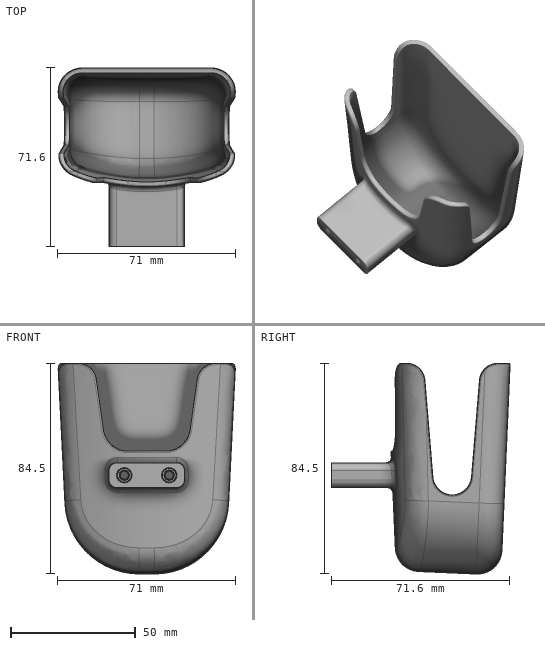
import cadquery as cq
import math

height = 84.5
depth = 71.6
side_spacing = 71.3

wall = 2.0
edge_radius = 10.0
rim_round = 0.5
tilt = math.radians(2.5)
side_lean = math.radians(2.86)
bottom_radius = 30.0
front_bow_radius = 74.35
front_y_at_rim = -49.3
overshoot = 8.45

notch_top_radius = 7.5
front_notch_bottom = 49.25
front_notch_flat = 15.0
front_notch_radius = 10.0
front_notch_lean = math.radians(8)
side_notch_bottom = 31.7
side_notch_radius = 7.8
side_notch_lean = math.radians(4.7)
side_notch_y = -23.2

stem_width = 30.25
stem_thickness = 10.0
stem_corner_radius = 3.0
stem_z = 39.6
stem_root_radius = 2.0
stem_root_y = -42.2
insert_spacing = 18.0
insert_places = (-insert_spacing / 2, insert_spacing / 2)
insert_length = 8.0
knurl_teeth = 30
knurl_tip_radius = 3.1
knurl_root_radius = 2.8
knurl_base_share = 0.6
bore_radius = 1.65
bore_chamfer = 0.38

touch = 0.001

corner_z = -edge_radius * (math.cos(tilt) + math.sin(tilt) - 1)
corner_y = -(height - corner_z) * math.tan(tilt)


def u_outline(plane):
    """U outline with leaning sides and a short flat at the bottom."""
    rim_rise = (height - corner_z) / math.cos(tilt)
    top_rise = rim_rise + overshoot
    top_x = side_spacing / 2 + overshoot * math.tan(side_lean)
    tangent_rise = bottom_radius * (1 - math.sin(side_lean))
    tangent_x = top_x - (top_rise - tangent_rise) * math.tan(side_lean)
    flat_x = tangent_x - bottom_radius * math.cos(side_lean)
    return (
        cq.Workplane(plane)
        .moveTo(-flat_x, 0)
        .lineTo(flat_x, 0)
        .radiusArc((tangent_x, tangent_rise), -bottom_radius)
        .lineTo(top_x, top_rise)
        .lineTo(-top_x, top_rise)
        .lineTo(-tangent_x, tangent_rise)
        .radiusArc((-flat_x, 0), -bottom_radius)
        .close()
    )


def cup_block(inset):
    """Solid cup shape, with every wall moved inward by inset."""
    into_cup = cq.Vector(0, -math.cos(tilt), math.sin(tilt))
    back_corner = cq.Vector(0, corner_y, corner_z) + into_cup * inset
    back_plane = cq.Plane(origin=back_corner, xDir=(1, 0, 0), normal=into_cup)
    outline = u_outline(back_plane)
    if inset:
        outline = outline.offset2D(-inset)
    block = outline.extrude(depth)

    bow_axis = cq.Vector(0, -math.sin(tilt), math.cos(tilt))
    bow_centre = (0, front_y_at_rim + front_bow_radius / math.cos(tilt), height)
    bow_plane = cq.Plane(origin=bow_centre, xDir=(1, 0, 0), normal=bow_axis)
    bow = cq.Workplane(bow_plane).circle(front_bow_radius - inset).extrude(2 * height, both=True)
    block = block.intersect(bow)

    back_edges = block.faces(">Y").edges("not(>Z)").vals()
    front_edges = block.faces("<Y").edges("not(>Z)").vals()
    return block.newObject(back_edges + front_edges).fillet(edge_radius - inset)


def notch(plane, flat, bottom, radius, lean, length):
    """Prism of a flared notch, rounded at the bottom and curving out to meet the rim."""
    flat_x = flat / 2
    low_x = flat_x + radius * math.cos(lean)
    low_z = bottom + radius * (1 - math.sin(lean))
    high_z = height - notch_top_radius * (1 - math.sin(lean))
    high_x = low_x + (high_z - low_z) * math.tan(lean)
    mouth_x = high_x + notch_top_radius * math.cos(lean)
    outline = cq.Workplane(plane).moveTo(-flat_x, bottom)
    if flat:
        outline = outline.lineTo(flat_x, bottom)
    return (
        outline.radiusArc((low_x, low_z), -radius)
        .lineTo(high_x, high_z)
        .radiusArc((mouth_x, height), notch_top_radius)
        .lineTo(mouth_x, height + overshoot)
        .lineTo(-mouth_x, height + overshoot)
        .lineTo(-mouth_x, height)
        .radiusArc((-high_x, high_z), notch_top_radius)
        .lineTo(-low_x, low_z)
        .radiusArc((-flat_x, bottom), -radius)
        .close()
        .extrude(length)
    )


def rim_cutter():
    """Everything removed above the rim: the space over it, the front notch and the side notches."""
    above = (
        cq.Workplane("XY", origin=(0, 0, height))
        .rect(3 * side_spacing, 3 * depth)
        .extrude(2 * overshoot)
    )
    front_plane = cq.Plane(origin=(0, side_notch_y, 0), xDir=(1, 0, 0), normal=(0, -1, 0))
    front = notch(
        front_plane, front_notch_flat, front_notch_bottom, front_notch_radius, front_notch_lean, depth
    )
    side_plane = cq.Plane(origin=(-side_spacing, side_notch_y, 0), xDir=(0, 1, 0), normal=(1, 0, 0))
    side = notch(
        side_plane, 0, side_notch_bottom, side_notch_radius, side_notch_lean, 2 * side_spacing
    )
    return above.union(front).union(side)


def edges_on(body, first, second):
    """Edges of body whose middle lies on the surfaces of both other shapes."""
    skins = [cq.Compound.makeCompound(shape.faces().vals()) for shape in (first, second)]
    found = []
    for edge in body.edges().vals():
        middle = cq.Vertex.makeVertex(*edge.positionAt(0.5).toTuple())
        if all(skin.distance(middle) < touch for skin in skins):
            found.append(edge)
    return found


def stem():
    """Flat bar with rounded long edges, running from inside the cup to the mounting end."""
    plane = cq.Plane(origin=(0, -depth, stem_z), xDir=(1, 0, 0), normal=(0, 1, 0))
    return (
        cq.Workplane(plane)
        .rect(stem_width, stem_thickness)
        .extrude(depth + stem_root_y)
        .edges("|Y")
        .fillet(stem_corner_radius)
    )


def knurled_plug(x):
    """Solid toothed cylinder with the outer shape of an insert."""
    pitch = 2 * math.pi / knurl_teeth
    half_base = knurl_base_share * pitch / 2
    points = []
    for i in range(knurl_teeth):
        middle = i * pitch
        for radius, angle in (
            (knurl_root_radius, middle - half_base),
            (knurl_tip_radius, middle),
            (knurl_root_radius, middle + half_base),
        ):
            points.append((radius * math.cos(angle), radius * math.sin(angle)))
    plane = cq.Plane(origin=(x, -depth, stem_z), xDir=(1, 0, 0), normal=(0, 1, 0))
    return cq.Workplane(plane).polyline(points).close().extrude(insert_length)


def make_insert(x):
    """Knurled insert with a through bore chamfered at its outer end."""
    insert = knurled_plug(x).faces(">Y").workplane(origin=(x, 0, stem_z)).hole(2 * bore_radius)
    return insert.faces("<Y").edges("%CIRCLE").chamfer(bore_chamfer)


def make_holder():
    """Cup and stem in one piece, with a toothed pocket for each insert."""
    outside = cup_block(0)
    cavity = cup_block(wall)
    cutter = rim_cutter()
    holder = outside.cut(cutter).cut(cavity)
    rim_edges = edges_on(holder, outside, cutter)
    holder = holder.newObject(rim_edges).fillet(rim_round)

    bar = stem()
    holder = holder.union(bar)
    root_edges = edges_on(holder, outside, bar)
    holder = holder.newObject(root_edges).fillet(stem_root_radius)
    holder = holder.cut(cavity)
    for x in insert_places:
        holder = holder.cut(knurled_plug(x))
    return holder


holder = make_holder()
inserts = [make_insert(x) for x in insert_places]

result = cq.Compound.makeCompound([holder.val(), *[insert.val() for insert in inserts]])